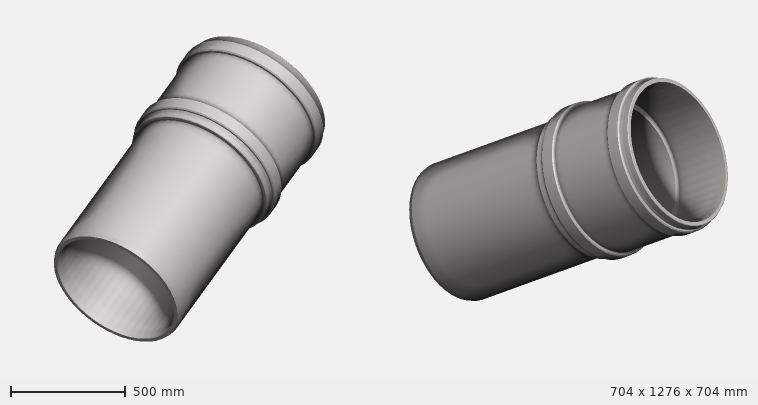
import cadquery as cq

total_length = 1276.0
pipe_diameter = 630.0
pipe_bore = 582.0
pipe_tip_diameter = 616.0
pipe_taper_length = 20.0

sleeve_length = 526.0
sleeve_diameter = 672.0
lip_edge_chamfer = 3.0
lip_length = 30.0
socket_bore = 635.0
socket_depth = sleeve_length / 2

ring_diameter = 704.0
ring_width = 66.0
ring_offset = 42.0
ring_chamfer = 5.0
ring_foot_diameter = 679.0

y_front = -total_length / 2
y_back = total_length / 2
sleeve_front = y_back - sleeve_length


def revolve_profile(points):
    """Revolve a closed (diameter, y) outline about the Y axis."""
    outline = [(diameter / 2, y) for diameter, y in points]
    return cq.Workplane("XY").polyline(outline).close().revolve(360, (0, 0, 0), (0, 1, 0))


def make_pipe():
    """Solid pipe body with a tapered free end, running into the sleeve."""
    return revolve_profile([
        (0, y_front),
        (pipe_tip_diameter, y_front),
        (pipe_diameter, y_front + pipe_taper_length),
        (pipe_diameter, y_back),
        (0, y_back),
    ])


def make_sleeve_end(end, inward):
    """Lip, flared foot and chamfered ring, built from one sleeve end inward along Y."""
    ring_start = end + inward * ring_offset
    ring_stop = ring_start + inward * ring_width
    chamfer_step = inward * ring_chamfer
    rim_diameter = ring_diameter - 2 * ring_chamfer
    lip_end = end + inward * lip_length
    return revolve_profile([
        (0, end),
        (sleeve_diameter - 2 * lip_edge_chamfer, end),
        (sleeve_diameter, end + inward * lip_edge_chamfer),
        (sleeve_diameter, lip_end),
        (ring_foot_diameter, ring_start),
        (rim_diameter, ring_start),
        (ring_diameter, ring_start + chamfer_step),
        (ring_diameter, ring_stop - chamfer_step),
        (rim_diameter, ring_stop),
        (0, ring_stop),
    ])


def make_barrel():
    """Plain barrel of the sleeve, joining the two rings."""
    barrel_front = sleeve_front + ring_offset
    barrel_length = sleeve_length - 2 * ring_offset
    return (
        cq.Workplane("XZ", origin=(0, barrel_front, 0))
        .circle(sleeve_diameter / 2)
        .extrude(-barrel_length)
    )


def make_bore():
    """Through bore, widened to the socket diameter from the +Y end."""
    socket_floor = y_back - socket_depth
    return revolve_profile([
        (0, y_front),
        (pipe_bore, y_front),
        (pipe_bore, socket_floor),
        (socket_bore, socket_floor),
        (socket_bore, y_back),
        (0, y_back),
    ])


body = make_pipe().union(make_barrel())
for end, inward in ((y_back, -1), (sleeve_front, 1)):
    body = body.union(make_sleeve_end(end, inward))

result = body.cut(make_bore())